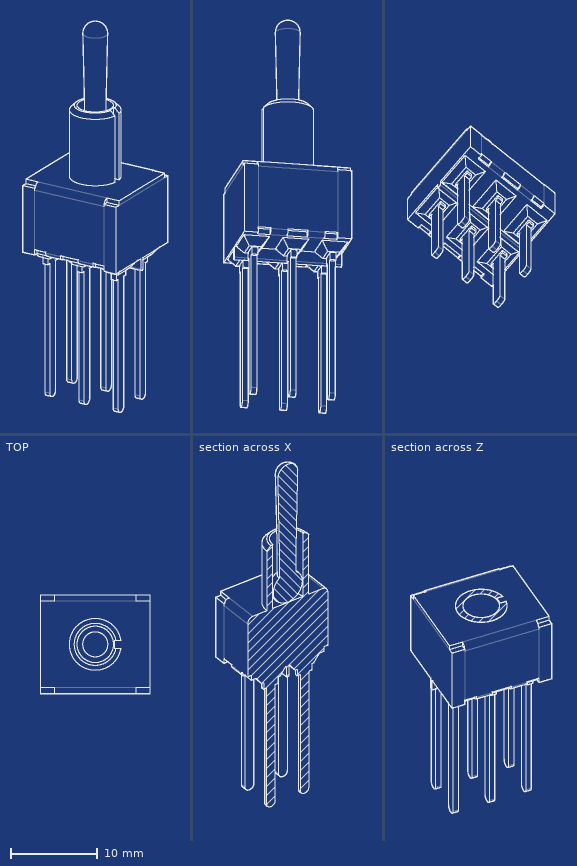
import cadquery as cq
import math


BASE_X = 12.7
BASE_Y = 11.45
BASE_BOTTOM = -8.9

SHEET = 0.55
PLATE_EDGE_SETBACK = 0.7
FLAP_X = 9.45
FLAP_BOTTOM = -8.25
FLAP_BEND_RADIUS = 1.65 / 2
TAB_X = 2.0
TAB_PITCH = 4.4

BUSHING_DIAMETER = 6.0
BUSHING_HEIGHT = 8.85
BUSHING_CHAMFER = 0.55
BORE_DIAMETER = 4.2
KEYWAY_WIDTH = 0.95
KEYWAY_FLOOR_X = 2.2

RIB_THICKNESS = 0.45
RIB_BOTTOM = -10.45

TERMINAL_PITCH_X = 4.65
TERMINAL_PITCH_Y = 4.8
TERMINAL_COLUMNS = 3
TERMINAL_ROWS = 2
TERMINAL_THICKNESS = 0.7
SEAL_TOP_X = 3.05
SEAL_TOP_Y = 4.2
SEAL_TAPER = 0.8
SEAL_BOTTOM = -9.95
SHOULDER_WIDTH = 2.1
SHOULDER_BOTTOM = -10.85
LEG_WIDTH = 1.25
LEG_BOTTOM = -27.62
LEG_END_FILLET = 0.6

OVERALL_HEIGHT = 46.9
LEVER_TOP = OVERALL_HEIGHT + LEG_BOTTOM
TIP_RADIUS = 1.45
NECK_DIAMETER = 2.45
NECK_TOP = 7.05


def block(size_x, size_y, bottom, top):
    """Box centred on the Z axis between two heights."""
    return cq.Workplane("XY", origin=(0, 0, bottom)).box(
        size_x, size_y, top - bottom, centered=(True, True, False)
    )


def make_base():
    """Block with a shallow recess on the front and back for the cover flaps."""
    body = block(BASE_X, BASE_Y, BASE_BOTTOM, -SHEET)
    core = block(FLAP_X, BASE_Y - 2 * SHEET, BASE_BOTTOM, -SHEET)
    recesses = block(FLAP_X, BASE_Y, BASE_BOTTOM, -SHEET).cut(core)
    return body.cut(recesses)


def make_flap_envelope():
    """Solid outline of the two flaps: each bend arc runs tangent into the flap's outer face."""
    bend_run = FLAP_BEND_RADIUS - PLATE_EDGE_SETBACK
    bend_end = -math.sqrt(FLAP_BEND_RADIUS**2 - bend_run**2)
    plate_edge = BASE_Y / 2 - PLATE_EDGE_SETBACK
    return (
        cq.Workplane("YZ", origin=(-FLAP_X / 2, 0, 0))
        .moveTo(-BASE_Y / 2, FLAP_BOTTOM)
        .lineTo(-BASE_Y / 2, bend_end)
        .radiusArc((-plate_edge, 0), FLAP_BEND_RADIUS)
        .lineTo(plate_edge, 0)
        .radiusArc((BASE_Y / 2, bend_end), FLAP_BEND_RADIUS)
        .lineTo(BASE_Y / 2, FLAP_BOTTOM)
        .close()
        .extrude(FLAP_X)
    )


def make_cover():
    """Top plate with two bent flaps, each with two round-ended tabs."""
    plate = block(BASE_X, BASE_Y - 2 * PLATE_EDGE_SETBACK, -SHEET, 0)
    flaps = make_flap_envelope()
    tab = block(TAB_X, BASE_Y, BASE_BOTTOM, FLAP_BOTTOM)
    tab = tab.edges("|X and <Z").fillet(SHEET)
    for side in (-1, 1):
        flaps = flaps.union(tab.translate((side * TAB_PITCH / 2, 0, 0)))
    inside = block(FLAP_X, BASE_Y - 2 * SHEET, BASE_BOTTOM, -SHEET)
    return plate.union(flaps.cut(inside))


def make_bushing():
    """Chamfered tube with a keyway along the outside of its +X wall."""
    tube = cq.Workplane("XY").circle(BUSHING_DIAMETER / 2).extrude(BUSHING_HEIGHT)
    tube = tube.faces(">Z").edges().chamfer(BUSHING_CHAMFER)
    bore = cq.Workplane("XY").circle(BORE_DIAMETER / 2).extrude(BUSHING_HEIGHT)
    keyway_depth = BUSHING_DIAMETER / 2 - KEYWAY_FLOOR_X
    keyway = block(keyway_depth, KEYWAY_WIDTH, 0, BUSHING_HEIGHT)
    keyway = keyway.translate((KEYWAY_FLOOR_X + keyway_depth / 2, 0, 0))
    return tube.cut(bore).cut(keyway)


def make_rib():
    """Divider rib across the base underside, with a fully rounded lower edge."""
    radius = RIB_THICKNESS / 2
    return (
        cq.Workplane("YZ", origin=(-BASE_X / 2, 0, 0))
        .moveTo(-radius, BASE_BOTTOM)
        .lineTo(-radius, RIB_BOTTOM + radius)
        .threePointArc((0, RIB_BOTTOM), (radius, RIB_BOTTOM + radius))
        .lineTo(radius, BASE_BOTTOM)
        .close()
        .extrude(BASE_X)
    )


def make_terminal():
    """Terminal centred on the Z axis: tapered seal, shoulder and round-ended leg."""
    seal = (
        cq.Workplane("XY", origin=(0, 0, BASE_BOTTOM))
        .rect(SEAL_TOP_X, SEAL_TOP_Y)
        .workplane(offset=SEAL_BOTTOM - BASE_BOTTOM)
        .rect(SEAL_TOP_X - 2 * SEAL_TAPER, SEAL_TOP_Y - 2 * SEAL_TAPER)
        .loft(ruled=True)
    )
    shoulder = block(TERMINAL_THICKNESS, SHOULDER_WIDTH, SHOULDER_BOTTOM, SEAL_BOTTOM)
    leg = block(TERMINAL_THICKNESS, LEG_WIDTH, LEG_BOTTOM, SHOULDER_BOTTOM)
    leg = leg.edges("|X and <Z").fillet(LEG_END_FILLET)
    return seal.union(shoulder).union(leg)


def make_housing():
    """Base, cover, bushing, rib and terminals joined into one solid."""
    body = make_base().union(make_rib()).union(make_cover(), clean=False)
    body = body.union(make_bushing(), clean=False)
    terminal = make_terminal()
    places = cq.Workplane("XY").rarray(
        TERMINAL_PITCH_X, TERMINAL_PITCH_Y, TERMINAL_COLUMNS, TERMINAL_ROWS
    )
    for place in places.vals():
        body = body.union(terminal.translate(place), clean=False)
    return body


def make_lever():
    """Pivot ball resting in the bore, straight neck, flared handle and domed tip."""
    ball_radius = BORE_DIAMETER / 2
    ball = cq.Workplane("XY", origin=(0, 0, ball_radius)).sphere(ball_radius)
    tip_centre = LEVER_TOP - TIP_RADIUS
    handle = (
        cq.Workplane("XZ")
        .moveTo(0, ball_radius)
        .lineTo(NECK_DIAMETER / 2, ball_radius)
        .lineTo(NECK_DIAMETER / 2, NECK_TOP)
        .lineTo(TIP_RADIUS, tip_centre)
        .radiusArc((0, LEVER_TOP), -TIP_RADIUS)
        .close()
        .revolve(360, (0, 0, 0), (0, 1, 0))
    )
    return ball.union(handle)


housing = make_housing()
lever = make_lever()
result = cq.Compound.makeCompound([housing.val(), lever.val()])